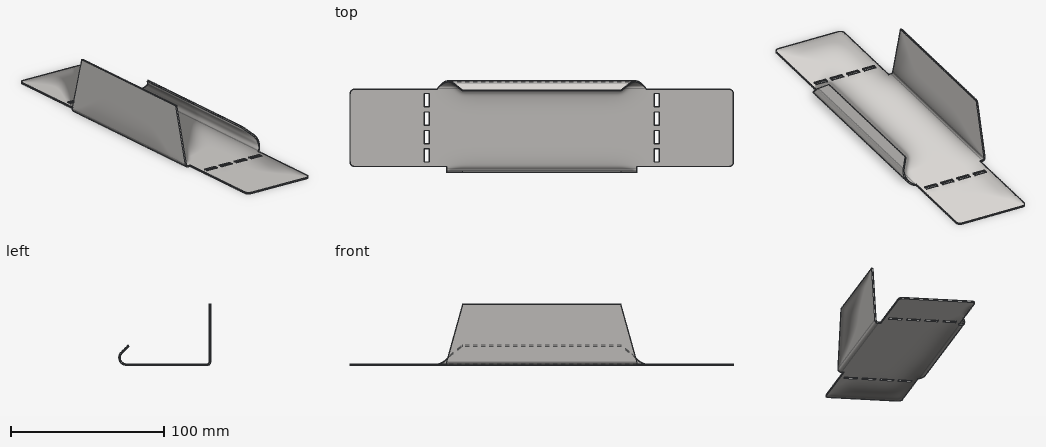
import cadquery as cq
import math

thickness = 1.0
strip_length = 250.0
strip_width = 50.5
strip_corner_radius = 3.0

overall_height = 40.0
wall_setback = 4.0
wall_bottom_width = 124.0
wall_top_width = 103.0
wall_bend_radius = 2.2

overall_depth = 60.0
curl_radius = 5.0
curl_angle = math.radians(135)
curl_base_width = 136.0
lip_length = 6.5
lip_tip_width = 103.5
curve_samples = 12

slot_width = 3.0
slot_length = 8.5
slot_pitch = 12.0
slots_per_row = 4
slot_row_spacing = 150.0

wall_outer_y = -strip_width / 2 - wall_setback
bend_center_y = wall_outer_y + wall_bend_radius
curl_center_y = wall_outer_y + overall_depth - curl_radius
arc_length = curl_radius * curl_angle
end_slant = (curl_base_width - lip_tip_width) / 2 / (arc_length + lip_length)
lip_base_width = curl_base_width - 2 * end_slant * arc_length


def make_plate(width, front_y, back_y):
    base = cq.Workplane("XY", origin=(0, front_y, 0))
    return base.box(width, back_y - front_y, thickness, centered=(True, False, False))


def make_strip():
    strip = make_plate(strip_length, -strip_width / 2, strip_width / 2)
    return strip.edges("|Z").fillet(strip_corner_radius)


def make_slots():
    return (
        cq.Workplane("XY")
        .rarray(slot_row_spacing, slot_pitch, 2, slots_per_row)
        .rect(slot_width, slot_length)
        .extrude(thickness)
    )


def make_wall():
    """Quarter bend along the strip plus the tapered upright wall."""
    inner_radius = wall_bend_radius - thickness
    diagonal = math.sqrt(0.5)
    bend = (
        cq.Workplane("YZ", origin=(-wall_bottom_width / 2, bend_center_y, wall_bend_radius))
        .moveTo(0, -wall_bend_radius)
        .threePointArc((-wall_bend_radius * diagonal, -wall_bend_radius * diagonal), (-wall_bend_radius, 0))
        .lineTo(-inner_radius, 0)
        .threePointArc((-inner_radius * diagonal, -inner_radius * diagonal), (0, -inner_radius))
        .close()
        .extrude(wall_bottom_width)
    )
    wall = (
        cq.Workplane("XZ", origin=(0, wall_outer_y, 0))
        .moveTo(-wall_bottom_width / 2, wall_bend_radius)
        .lineTo(wall_bottom_width / 2, wall_bend_radius)
        .lineTo(wall_top_width / 2, overall_height)
        .lineTo(-wall_top_width / 2, overall_height)
        .close()
        .extrude(-thickness)
    )
    return bend.union(wall)


def curl_end_curve(radius, side):
    """Helix at one end of the curl: it moves inwards in proportion to the bent length."""
    points = []
    for i in range(curve_samples + 1):
        angle = curl_angle * i / curve_samples
        x = side * (curl_base_width / 2 - end_slant * curl_radius * angle)
        y = curl_center_y + radius * math.sin(angle)
        z = curl_radius - radius * math.cos(angle)
        points.append(cq.Vector(x, y, z))
    return cq.Edge.makeSpline(points)


def make_curl_arc():
    """Curved sheet closed by ruled faces between its four end curves."""
    inner_radius = curl_radius - thickness
    curves = [
        curl_end_curve(curl_radius, -1),
        curl_end_curve(curl_radius, 1),
        curl_end_curve(inner_radius, 1),
        curl_end_curve(inner_radius, -1),
    ]
    following = curves[1:] + curves[:1]
    faces = [cq.Face.makeRuledSurface(a, b) for a, b in zip(curves, following)]
    for position in (0, 1):
        corners = [curve.positionAt(position) for curve in curves]
        faces.append(cq.Face.makeFromWires(cq.Wire.makePolygon(corners, close=True)))
    return cq.Workplane(cq.Solid.makeSolid(cq.Shell.makeShell(faces)).fix())


def make_lip():
    """Flat tapered lip leaving the arc along its tangent."""
    outward = (0, math.sin(curl_angle), -math.cos(curl_angle))
    base = (
        0,
        curl_center_y + curl_radius * outward[1],
        curl_radius + curl_radius * outward[2],
    )
    lip_plane = cq.Plane(origin=base, xDir=(-1, 0, 0), normal=outward)
    return (
        cq.Workplane(lip_plane)
        .moveTo(-lip_base_width / 2, 0)
        .lineTo(lip_base_width / 2, 0)
        .lineTo(lip_tip_width / 2, lip_length)
        .lineTo(-lip_tip_width / 2, lip_length)
        .close()
        .extrude(-thickness)
    )


front_flange = make_plate(wall_bottom_width, bend_center_y, 0)
rear_flange = make_plate(curl_base_width, 0, curl_center_y)

result = (
    make_strip()
    .union(front_flange)
    .union(rear_flange)
    .union(make_wall())
    .union(make_curl_arc())
    .union(make_lip())
    .cut(make_slots())
    .clean()
)